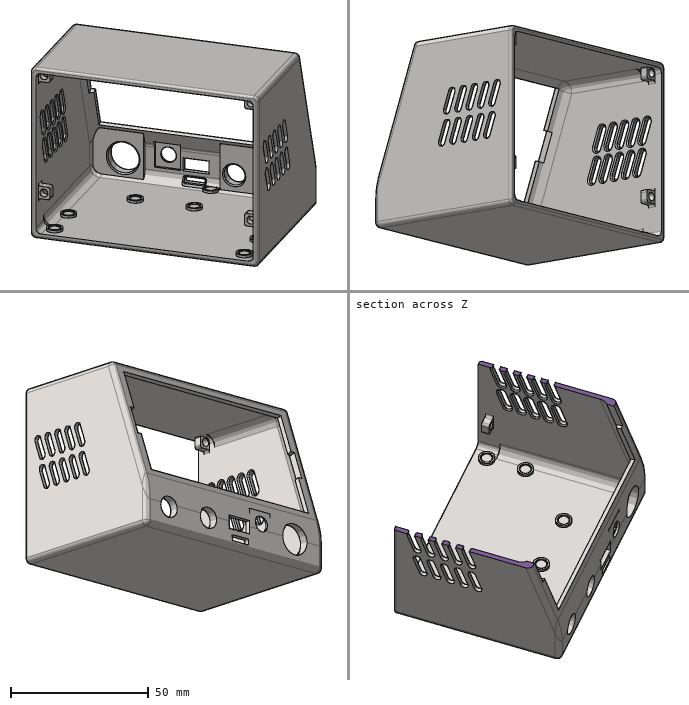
import cadquery as cq
import math

width = 88.0
depth = 65.0
height = 67.0
wall = 2.0
slant_angle = 20.0
bend_height = 15.3
bend_radius = 30.0
outer_fillet = 2.0
inner_fillet = 4.0
rim_fillet = 1.0
edge_chamfer = 0.5

slant_tan = math.tan(math.radians(slant_angle))
slant_cos = math.cos(math.radians(slant_angle))
slant_sin = math.sin(math.radians(slant_angle))
inner_half_width = width / 2 - wall

seat_depth = 8.6
seat_corner = 2.0

boss_x = 39.95
boss_heights = (17.0, 63.0)
boss_half_size = 2.5
boss_corner = 1.0
boss_root_fillet = 1.0
boss_front = 3.0
boss_length = 3.0
screw_hole = 3.0

window_width = 77.9
window_bottom = 22.5
window_top = 63.4
notch_width = 81.2
notch_bottom = 37.5
notch_top = 48.3

pad_thickness = 4.0
pad_top = 20.7
left_pad_edge = -21.9
right_pad_edge = 7.7
large_hole = (-29.7, 10.0, 12.0)
small_holes = ((13.1, 9.0, 8.0), (32.65, 9.0, 8.0))
jack_x, jack_z, jack_hole = -13.3, 12.3, 6.0
jack_pocket = 10.2
jack_wall = 1.0
socket_x, socket_z = -2.3, 9.8
socket_width, socket_height = 10.0, 5.1
port_x, port_z = -2.7, 4.0
port_width, port_height, port_corner = 8.0, 2.3, 0.5

vent_width = 3.0
vent_travel = 7.0
vent_count = 5
vent_pitch = 5.0 / slant_cos
vent_rows = ((29.3, 42.5), (31.7, 30.9))

foot_diameter = 6.0
foot_height = 1.0
dish_diameter = 4.0
dish_depth = 0.31
foot_places = (
    (-36.6, 5.5), (-36.6, 20.6), (36.6, 5.5), (36.6, 20.6),
    (4.3, 42.4), (4.3, 60.5), (-18.5, 42.4),
)


def box(x_range, y_range, z_range):
    size = [high - low for low, high in (x_range, y_range, z_range)]
    return cq.Workplane().box(*size, centered=False).translate((x_range[0], y_range[0], z_range[0]))


def side_profile(inset, half_width):
    """Prism of the side outline, moved inwards by inset except at the open face."""
    back = depth - inset
    top = height - inset
    bend = bend_height + inset * math.tan(math.radians(slant_angle / 2))
    top_back = back - (top - bend) * slant_tan
    return (
        cq.Workplane("YZ")
        .polyline([(0, inset), (back, inset), (back, bend), (top_back, top), (0, top)])
        .close()
        .extrude(half_width, both=True)
    )


def bend_edge(inset):
    bend = bend_height + inset * math.tan(math.radians(slant_angle / 2))
    return cq.selectors.NearestToPointSelector((0, depth - inset, bend))


def outer_body():
    body = side_profile(0, width / 2)
    closed_edges = cq.selectors.StringSyntaxSelector("not(<Y)")
    body = body.edges(closed_edges - bend_edge(0)).fillet(outer_fillet)
    body = body.edges(bend_edge(0)).fillet(bend_radius)
    return body.faces("<Y").edges().fillet(rim_fillet)


def cavity():
    rounded = side_profile(wall, inner_half_width)
    return rounded.edges("not(<Y)").fillet(inner_fillet)


def lid_seat():
    """Straight-walled start of the cavity with tight corners."""
    seat = box((-inner_half_width, inner_half_width), (0, seat_depth), (wall, height - wall))
    return seat.edges("|Y").fillet(seat_corner)


def back_pads():
    pads = None
    for x_range in ((-inner_half_width, left_pad_edge), (right_pad_edge, inner_half_width)):
        pad = box(x_range, (depth - pad_thickness, depth), (wall, pad_top))
        pads = pad if pads is None else pads.union(pad)
    return pads


def screw_bosses():
    """Square lugs on the side walls, rounded at the free corners and flared at the root."""
    reach = inner_half_width - boss_x + boss_half_size
    lug = (
        cq.Workplane("XZ")
        .moveTo(0, boss_half_size + boss_root_fillet)
        .radiusArc((boss_root_fillet, boss_half_size), -boss_root_fillet)
        .lineTo(reach - boss_corner, boss_half_size)
        .radiusArc((reach, boss_half_size - boss_corner), boss_corner)
        .lineTo(reach, boss_corner - boss_half_size)
        .radiusArc((reach - boss_corner, -boss_half_size), boss_corner)
        .lineTo(boss_root_fillet, -boss_half_size)
        .radiusArc((0, -boss_half_size - boss_root_fillet), -boss_root_fillet)
        .close()
        .extrude(-boss_length)
        .translate((-inner_half_width, boss_front, 0))
    )
    bosses = cq.Workplane()
    for boss_z in boss_heights:
        left = lug.translate((0, 0, boss_z))
        bosses = bosses.add(left).add(left.mirror("YZ"))
    return bosses.combine()


def floor_feet():
    feet = (
        cq.Workplane(origin=(0, 0, wall))
        .pushPoints(foot_places)
        .circle(foot_diameter / 2)
        .extrude(foot_height)
    )
    dishes = (
        cq.Workplane(origin=(0, 0, wall + foot_height))
        .pushPoints(foot_places)
        .circle(dish_diameter / 2 + dish_depth)
        .extrude(-dish_depth, taper=45)
    )
    return feet, dishes


def slant_cut(cut_width, bottom, top):
    """Cutter square to the slanted panel between two heights on its outer surface."""
    middle = (bottom + top) / 2
    outer_y = depth - (middle - bend_height) * slant_tan
    plane = cq.Plane(
        origin=(0, outer_y, middle), xDir=(1, 0, 0), normal=(0, slant_cos, slant_sin)
    )
    return cq.Workplane(plane).rect(cut_width, (top - bottom) / slant_cos).extrude(2 * wall, both=True)


def round_opening(x, z, diameter):
    """Back wall hole, chamfered at the pad face."""
    pad_face = depth - pad_thickness
    hole = cq.Workplane("XZ", origin=(x, depth, z)).circle(diameter / 2).extrude(pad_thickness)
    mouth = cq.Solid.makeCone(
        diameter / 2 + edge_chamfer, diameter / 2, edge_chamfer,
        pnt=cq.Vector(x, pad_face, z), dir=cq.Vector(0, 1, 0),
    )
    return hole.union(cq.Workplane(mouth))


def jack_opening():
    half = jack_pocket / 2
    pocket_back = depth - jack_wall
    pocket = box(
        (jack_x - half, jack_x + half),
        (pocket_back - inner_fillet, pocket_back),
        (jack_z - half, jack_z + half),
    )
    hole = cq.Workplane("XZ", origin=(jack_x, depth, jack_z)).circle(jack_hole / 2).extrude(inner_fillet)
    return pocket.union(hole)


def socket_opening():
    return (
        cq.Workplane("XZ", origin=(socket_x, depth, socket_z))
        .rect(socket_width, socket_height)
        .extrude(inner_fillet)
    )


def port_opening():
    """Rounded slot through the back wall with a wider recess on the inside."""
    reach = wall + inner_fillet

    def slot(grow, start):
        return (
            cq.Workplane("XZ", origin=(port_x, start, port_z))
            .rect(port_width + 2 * grow, port_height + 2 * grow)
            .extrude(reach)
            .edges("|Y")
            .fillet(port_corner + grow)
        )

    return slot(0, depth).union(slot(edge_chamfer, depth - wall))


def vents():
    """Slanted slots through both side walls, chamfered inside."""
    centres = [
        (first_y - i * vent_pitch, z)
        for first_y, z in vent_rows
        for i in range(vent_count)
    ]

    def slots(x, slot_width):
        return (
            cq.Workplane("YZ", origin=(x, 0, 0))
            .pushPoints(centres)
            .slot2D(vent_travel + slot_width, slot_width, 90 + slant_angle)
        )

    cutter = slots(-width / 2, vent_width).extrude(width)
    mouth_width = vent_width + 2 * edge_chamfer
    for side in (-1, 1):
        mouth = slots(side * inner_half_width, mouth_width).extrude(side * edge_chamfer, taper=45)
        cutter = cutter.union(mouth)
    return cutter


def screw_holes():
    places = [(side * boss_x, boss_z) for side in (-1, 1) for boss_z in boss_heights]
    return (
        cq.Workplane("XZ", origin=(0, boss_front, 0))
        .pushPoints(places)
        .circle(screw_hole / 2)
        .extrude(-boss_length)
    )


feet, dishes = floor_feet()
result = (
    outer_body()
    .cut(cavity())
    .cut(lid_seat())
    .union(back_pads().intersect(outer_body()))
    .union(feet)
    .cut(dishes)
    .union(screw_bosses())
    .cut(screw_holes())
    .cut(slant_cut(window_width, window_bottom, window_top))
    .cut(slant_cut(notch_width, notch_bottom, notch_top))
    .cut(jack_opening())
    .cut(socket_opening())
    .cut(port_opening())
    .cut(vents())
)
for hole in (large_hole, *small_holes):
    result = result.cut(round_opening(*hole))